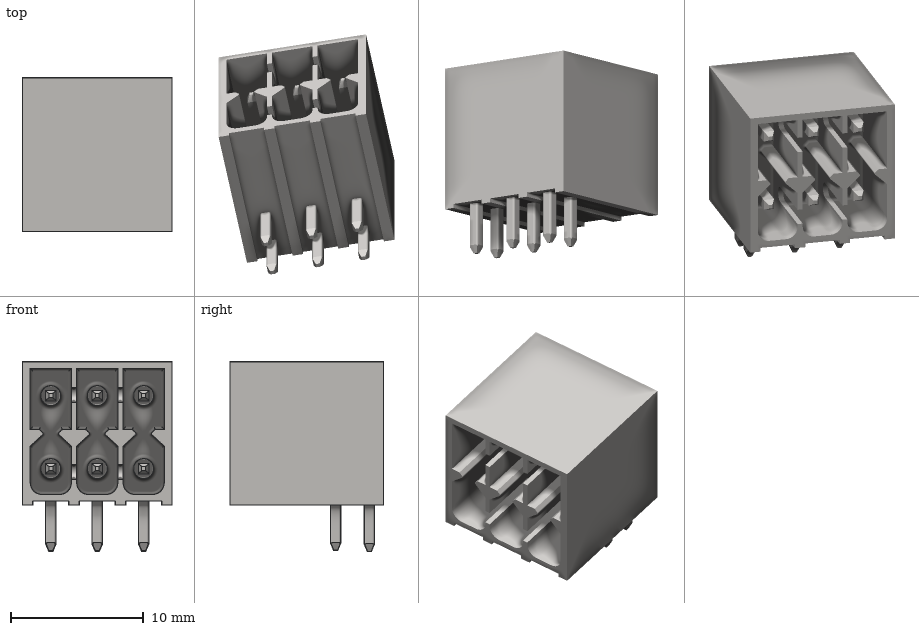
import cadquery as cq
import math


width = 11.3
depth = 11.6
height = 10.8
front_y = -depth / 2
back_y = depth / 2

pitch = 3.5
cell_width = 3.1
cell_half = cell_width / 2
cell_bottom = 0.8
cell_top = height - 0.5
cell_corner_radius = 0.9
cell_depth = 7.0
cell_floor_y = front_y + cell_depth
cell_floor_fillet = 0.22
column_xs = [-pitch, 0, pitch]

ledge_reach = 1.02
ledge_top = 5.7
ledge_root = 4.43
ledge_bevel = 0.33
ledge_tip_z = ledge_top - ledge_bevel
ledge_tip_radius = 0.1

divider_xs = [-pitch / 2, pitch / 2]
divider_width = pitch - cell_width
slot_width = 1.15
slot_depth = 5.5
slot_zs = [2.5, 8.3]

channel_width = 2.7
channel_height = 0.3

boss_radius = 0.79
boss_top_radius = 0.75
boss_height = 0.6
boss_fillet = 0.3

pin_size = 0.8
pin_half = pin_size / 2
contact_recess = 2.0
contact_tip_size = 0.3
contact_tip_length = 0.5
tail_edge_radius = 0.16
tail_tip_size = 0.3
tail_tip_length = 0.6
tail_row_pitch = 2.54
rear_tail_y = back_y - 1.08
lower_row = (2.75, rear_tail_y - tail_row_pitch, -3.42)
upper_row = (8.25, rear_tail_y, -3.5)
rows = [lower_row, upper_row]


def make_cell(x):
    """Cavity of one column: a waisted outline with a round bottom and a filleted floor."""
    waist = cell_half - ledge_reach
    shoulder = waist + ledge_bevel
    corner_x = cell_half - cell_corner_radius
    corner_z = cell_bottom + cell_corner_radius
    corner_offset = cell_corner_radius * math.sqrt(0.5)
    arc_x = corner_x + corner_offset
    arc_z = corner_z - corner_offset
    outline = (
        cq.Workplane("XZ", origin=(x, front_y, 0))
        .moveTo(-cell_half, cell_top)
        .lineTo(cell_half, cell_top)
        .lineTo(cell_half, ledge_top)
        .lineTo(shoulder, ledge_top)
        .lineTo(waist, ledge_tip_z)
        .lineTo(cell_half, ledge_root)
        .lineTo(cell_half, corner_z)
        .threePointArc((arc_x, arc_z), (corner_x, cell_bottom))
        .lineTo(-corner_x, cell_bottom)
        .threePointArc((-arc_x, arc_z), (-cell_half, corner_z))
        .lineTo(-cell_half, ledge_root)
        .lineTo(-waist, ledge_tip_z)
        .lineTo(-shoulder, ledge_top)
        .lineTo(-cell_half, ledge_top)
        .close()
    )
    mid_y = front_y + cell_depth / 2
    tip_edges = cq.selectors.BoxSelector(
        (x - waist - ledge_tip_radius, mid_y - ledge_tip_radius, ledge_tip_z - ledge_tip_radius),
        (x + waist + ledge_tip_radius, mid_y + ledge_tip_radius, ledge_tip_z + ledge_tip_radius),
    )
    cell = outline.extrude(-cell_depth).edges(tip_edges).fillet(ledge_tip_radius)
    return cell.faces(">Y").edges().fillet(cell_floor_fillet)


def make_boss(x, z):
    """Round boss on the cell floor that narrows slightly to its top and flares out at its foot."""
    foot_radius = boss_radius + boss_fillet
    flare_offset = boss_fillet * (1 - math.sqrt(0.5))
    return (
        cq.Workplane("XY")
        .moveTo(0, 0)
        .lineTo(foot_radius, 0)
        .threePointArc((boss_radius + flare_offset, -flare_offset), (boss_radius, -boss_fillet))
        .lineTo(boss_top_radius, -boss_height)
        .lineTo(0, -boss_height)
        .close()
        .revolve(360, (0, 0, 0), (0, 1, 0))
        .translate((x, cell_floor_y, z))
    )


def make_slot(x, z):
    """Slot through one dividing wall, open at the mating face and round at its inner end."""
    radius = slot_width / 2
    straight = slot_depth - radius
    return (
        cq.Workplane("YZ", origin=(x - divider_width / 2, front_y, z))
        .moveTo(0, radius)
        .lineTo(straight, radius)
        .threePointArc((slot_depth, 0), (straight, -radius))
        .lineTo(0, -radius)
        .close()
        .extrude(divider_width)
    )


def make_pointed_bar(length, tip_size, tip_length):
    """Square bar along +Z from the origin, with a blunt four-sided point at its far end."""
    taper = math.degrees(math.atan((pin_size - tip_size) / 2 / tip_length))
    shank = length - tip_length
    point = cq.Workplane("XY", origin=(0, 0, shank)).rect(pin_size, pin_size).extrude(tip_length, taper=taper)
    return cq.Workplane("XY").rect(pin_size, pin_size).extrude(shank).union(point)


def make_pin(x, contact_z, tail_y, tail_end):
    """Bent pin: a sharp-edged contact towards -Y and a round-edged tail towards -Z."""
    bend_back_y = tail_y + pin_half
    contact_length = bend_back_y - (front_y + contact_recess)
    contact = (
        make_pointed_bar(contact_length, contact_tip_size, contact_tip_length)
        .rotate((0, 0, 0), (1, 0, 0), 90)
        .translate((x, bend_back_y, contact_z))
    )
    tail_length = contact_z - tail_end
    rounded_bar = (
        cq.Workplane("XY")
        .rect(pin_size, pin_size)
        .extrude(tail_length)
        .edges("|Z")
        .fillet(tail_edge_radius)
    )
    tail = (
        make_pointed_bar(tail_length, tail_tip_size, tail_tip_length)
        .intersect(rounded_bar)
        .rotate((0, 0, 0), (1, 0, 0), 180)
        .translate((x, tail_y, contact_z))
    )
    return contact.union(tail)


def make_housing(pins):
    """Block with the cells, bosses, slots, underside channels and fitting pin holes."""
    body = cq.Workplane("XY").box(width, depth, height, centered=(True, True, False))
    for x in column_xs:
        body = body.cut(make_cell(x))
        channel = (
            cq.Workplane("XY", origin=(x, 0, 0))
            .box(channel_width, depth, channel_height, centered=(True, True, False))
        )
        body = body.cut(channel)
        for contact_z, _, _ in rows:
            body = body.union(make_boss(x, contact_z))
    for x in divider_xs:
        for z in slot_zs:
            body = body.cut(make_slot(x, z))
    for pin in pins:
        body = body.cut(pin)
    return body


pins = [make_pin(x, *row) for x in column_xs for row in rows]
housing = make_housing(pins)

result = cq.Compound.makeCompound([housing.val(), *[pin.val() for pin in pins]])